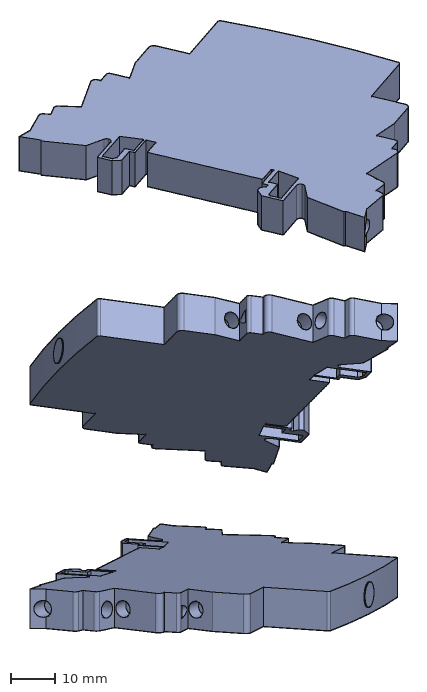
import cadquery as cq
import math


length = 85.2
thickness = 9.0
total_height = 66.6
half_length = length / 2
mid_z = thickness / 2

head_half_width = 22.4
head_corner_y = 65.3
head_corner_radius = 0.7
disc_diameter = 5.8
disc_rise = 0.25
crown_y = total_height - disc_rise
disc_root_depth = 0.85

shoulder_half_width = 31.95
shoulder_y = 49.4
shoulder_radius = 1.3
shoulder_wall_foot = (shoulder_half_width, 40.7)

middle_ledge_y = 34.3
shoulder_waist = (30.4, middle_ledge_y)
middle_half_width = 35.9
middle_radius = 0.8
middle_lip_y = 30.7
middle_lip_corner = (38.1, middle_lip_y)
middle_lip_radius = 1.2
middle_waist = (35.2, 18.5)

lower_ledge_end = (40.8, 16.4)
lower_ledge_radius = 1.0
lower_lip_root = (40.1, 12.7)
lower_lip_corner = (42.5, 12.0)
lower_lip_radius = 1.0
lower_waist = (41.5, 4.4)
toe_y = 0.9

toe_bump_outer = (37.6, 1.6)
toe_bump_inner = (37.3, 1.3)
flank_heel = (27.3, 3.6)
notch_top_y = 8.3
notch_half_span = 24.45
notch_radius = 0.9

foot_outer_x = 22.9
foot_wall = 0.85
rail_roof_y = 11.3
block_y = 6.6
block_left_x = -13.55
block_right_x = 14.9
block_right_foot_x = 14.7
block_bevel_y = 7.4
window_outer_x = foot_outer_x - foot_wall
window_inner_x = 16.6
window_neck_x = 18.8
window_neck_y = 6.05
window_roof_outer_y = 10.3
right_window_neck_bottom_y = 1.3
right_window_chamfer_x = 19.3
left_window_neck_bottom_y = 1.8
left_window_chamfer_x = 19.6

hole_diameter = 3.8
hole_depth = 4.0
upper_hole_y = 36.4
middle_hole_y = 20.7
lower_hole_y = 3.8
screw_hole_y = 17.55

flank = [
    (head_half_width, head_corner_y),
    (head_half_width, shoulder_y),
    (shoulder_half_width, shoulder_y),
    shoulder_wall_foot,
    shoulder_waist,
    (middle_half_width, middle_ledge_y),
    (middle_half_width, middle_lip_y),
    middle_lip_corner,
    middle_waist,
    lower_ledge_end,
    lower_lip_root,
    lower_lip_corner,
    lower_waist,
    (half_length, toe_y),
    toe_bump_outer,
    toe_bump_inner,
    flank_heel,
    (notch_half_span, notch_top_y),
    (foot_outer_x, notch_top_y),
]

right_foot = [
    (foot_outer_x, 0),
    (17.55, 0),
    (15.8, 1.9),
    (15.8, 3.1),
    (16.95, 4.0),
    (16.95, 4.85),
    (15.5, 4.85),
    (15.5, rail_roof_y),
    (block_right_x, rail_roof_y),
    (block_right_x, block_bevel_y),
    (block_right_foot_x, block_y),
]

left_foot = [
    (block_left_x, block_y),
    (block_left_x, rail_roof_y),
    (-16.0, rail_roof_y),
    (-16.0, 5.3),
    (-17.4, 5.3),
    (-17.4, 1.1),
    (-19.3, 0),
    (-foot_outer_x, 0),
]

rounded_corners = [
    ((head_half_width, head_corner_y), head_corner_radius),
    ((shoulder_half_width, shoulder_y), shoulder_radius),
    ((middle_half_width, middle_ledge_y), middle_radius),
    (middle_lip_corner, middle_lip_radius),
    (lower_ledge_end, lower_ledge_radius),
    (lower_lip_corner, lower_lip_radius),
    ((notch_half_span, notch_top_y), notch_radius),
    ((foot_outer_x, notch_top_y), notch_radius),
]

face_holes = [
    (shoulder_wall_foot, shoulder_waist, upper_hole_y),
    (middle_lip_corner, middle_waist, middle_hole_y),
    (middle_waist, lower_ledge_end, screw_hole_y),
    (lower_lip_corner, lower_waist, lower_hole_y),
]


def mirrored(points):
    """Points reflected about X = 0, in reverse order to keep the path running."""
    return [(-x, y) for x, y in reversed(points)]


def make_body():
    """Extruded profile with a domed top and rounded flank corners."""
    path = flank + right_foot + left_foot + mirrored(flank)
    body = (
        cq.Workplane("XY")
        .polyline(path)
        .threePointArc((0, crown_y), path[0])
        .close()
        .extrude(thickness)
    )
    for (x, y), radius in rounded_corners:
        for side in (1, -1):
            corner = cq.selectors.NearestToPointSelector((side * x, y, mid_z))
            body = body.edges("|Z").edges(corner).fillet(radius)
    return body


def make_window(side, neck_bottom_y, chamfer_x):
    """Opening inside a foot, narrowed below its neck; side is +1 right, -1 left."""
    floor_y = foot_wall
    points = [
        (window_outer_x, floor_y),
        (window_outer_x, window_roof_outer_y),
        (window_inner_x, rail_roof_y),
        (window_inner_x, window_neck_y),
        (window_neck_x, window_neck_y),
        (window_neck_x, neck_bottom_y),
        (chamfer_x, floor_y),
    ]
    outline = [(side * x, y) for x, y in points]
    return cq.Workplane("XY").polyline(outline).close().extrude(thickness)


def make_face_hole(start, end, y, side):
    """Blind hole square to the flank face that runs downward from start to end."""
    run_x = end[0] - start[0]
    run_y = end[1] - start[1]
    face_length = math.hypot(run_x, run_y)
    x = start[0] + run_x * (y - start[1]) / run_y
    inward = cq.Vector(side * run_y / face_length, -run_x / face_length, 0)
    mouth = cq.Vector(side * x, y, mid_z) - inward * hole_diameter
    depth = hole_depth + hole_diameter
    return cq.Workplane(cq.Solid.makeCylinder(hole_diameter / 2, depth, mouth, inward))


def make_disc():
    """Thin round disc raised above the crown of the dome."""
    root = cq.Vector(0, crown_y - disc_root_depth, mid_z)
    up = cq.Vector(0, 1, 0)
    height = disc_root_depth + disc_rise
    return cq.Workplane(cq.Solid.makeCylinder(disc_diameter / 2, height, root, up))


result = make_body()
result = result.cut(make_window(1, right_window_neck_bottom_y, right_window_chamfer_x))
result = result.cut(make_window(-1, left_window_neck_bottom_y, left_window_chamfer_x))
for side in (1, -1):
    for start, end, y in face_holes:
        result = result.cut(make_face_hole(start, end, y, side))
result = result.union(make_disc())